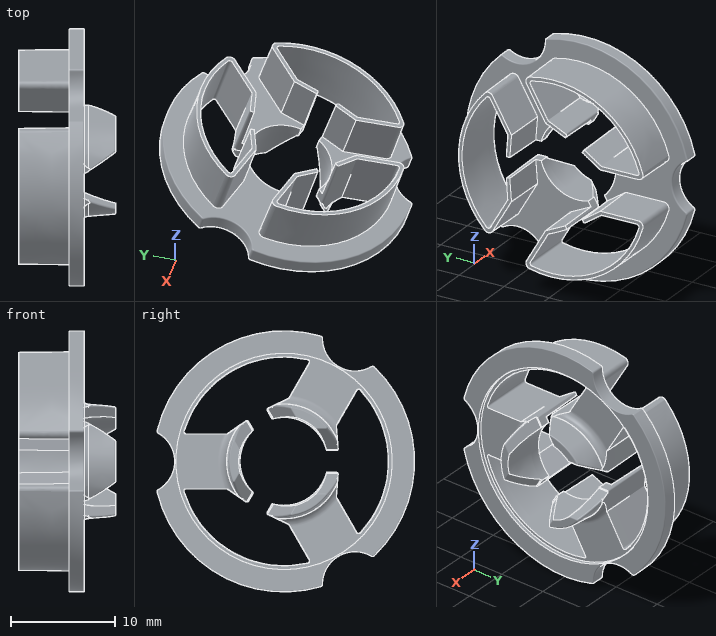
import cadquery as cq
import math


plate_radius = 12.5
plate_thickness = 1.5
hub_radius = 4.2
shell_side_rim_round = 0.15
peg_side_rim_round = 0.1

recess_radius = 10.35
recess_depth = 0.4

notch_radius = 3.1
notch_depth = 2.03
notch_corner_round = 0.25

shell_height = 4.8
shell_radius = 10.5
shell_wall = 0.52
shell_corner_round = 0.6
hollow_corner_round = 0.2
shell_draft = 0.7
arm_half_width = 2.12
bend_distance = 5.3
bend_tilt = 4.5
gap_half_width = 1.03
gap_length = 7.0
gap_lip_round = 0.2

peg_height = 3.0
peg_base_radius = 5.55
peg_waist_radius = 5.5
peg_foot_round = 0.8
peg_tip_radius = 5.27
peg_tip_inner_radius = 4.35
peg_base_clearance = 1.16
peg_tip_clearance = 3.1
peg_side_round = 0.15
peg_tip_round = 0.15

sector_count = 3
sector_angle = 360 / sector_count
arm_angle = sector_angle / 2
gap_angles = [i * sector_angle for i in range(sector_count)]
recess_floor = plate_thickness - recess_depth
peg_top = plate_thickness + peg_height
peg_middle_radius = (peg_tip_radius + peg_tip_inner_radius) / 2


def turned(shape, angle):
    """Turn a shape about the part's axis."""
    return shape.rotate((0, 0, 0), (1, 0, 0), angle)


def arm_to_gap(along, across):
    """Convert a point measured along and across an arm to (Y, Z) at the +Y gap."""
    angle = math.radians(arm_angle)
    y = along * math.cos(angle) + across * math.sin(angle)
    z = along * math.sin(angle) - across * math.cos(angle)
    return y, z


def distance_from_axis(edge):
    """Distance of an edge's centre from the part's axis."""
    centre = edge.Center()
    return math.hypot(centre.y, centre.z)


def make_plate():
    """Disc with rounded rim edges and a notch at the outer end of each arm."""
    plate = cq.Workplane("YZ").circle(plate_radius).extrude(plate_thickness)
    notch_centre = plate_radius - notch_depth + notch_radius
    notch = (
        cq.Workplane("YZ")
        .center(-notch_centre, 0)
        .circle(notch_radius)
        .extrude(plate_thickness)
    )
    for angle in gap_angles:
        plate = plate.cut(turned(notch, angle))
    plate = plate.edges("|X").fillet(notch_corner_round)
    plate = plate.faces("<X").edges().fillet(shell_side_rim_round)
    plate = plate.faces(">X").edges().fillet(peg_side_rim_round)
    recess = (
        cq.Workplane("YZ", origin=(recess_floor, 0, 0))
        .circle(recess_radius)
        .extrude(recess_depth)
    )
    hub_hole = cq.Workplane("YZ").circle(hub_radius).extrude(plate_thickness)
    return plate.cut(recess).cut(hub_hole)


def shell_outline():
    """Sharp-cornered outer outline of the +Y shell, where it meets the plate."""
    bend_y, bend_z = arm_to_gap(bend_distance, arm_half_width)
    corner_distance = math.sqrt(shell_radius**2 - arm_half_width**2)
    corner_y, corner_z = arm_to_gap(corner_distance, arm_half_width)
    ridge_y = bend_y + bend_z * math.tan(math.radians(bend_tilt))
    return (
        cq.Workplane("YZ")
        .moveTo(corner_y, -corner_z)
        .threePointArc((shell_radius, 0), (corner_y, corner_z))
        .lineTo(bend_y, bend_z)
        .lineTo(ridge_y, 0)
        .lineTo(bend_y, -bend_z)
        .close()
        .val()
    )


def round_rim_corners(outline, radius):
    """Round the two corners of a shell outline that lie nearest the plate's rim."""
    face = cq.Face.makeFromWires(outline)
    _, bend_z = arm_to_gap(bend_distance, arm_half_width)
    rim_corners = [v for v in face.Vertices() if abs(v.Z) > bend_z + shell_wall]
    return face.fillet2D(radius, rim_corners).outerWire()


def prism(outline, length, draft=0):
    """Prism from the plate's shell-side face along X, with optional draft."""
    return cq.Workplane("YZ").add(outline).toPending().extrude(length, taper=draft)


def make_shell():
    """Solid body of the shell around the +Y gap; its wall narrows to the tip."""
    outline = round_rim_corners(shell_outline(), shell_corner_round)
    return prism(outline, -shell_height, shell_draft)


def void_outline():
    """Outline of the +Y shell's hollow joined to the gap that opens it to the hub."""
    rounded_outline = round_rim_corners(shell_outline(), hollow_corner_round + shell_wall)
    hollow = prism(rounded_outline.offset2D(-shell_wall)[0], plate_thickness)
    gap = (
        cq.Workplane("YZ")
        .center(gap_length / 2, 0)
        .rect(gap_length, 2 * gap_half_width)
        .extrude(plate_thickness)
    )
    face = hollow.union(gap).faces("<X").val()
    lips = [v for v in face.Vertices() if is_gap_lip(v)]
    return face.fillet2D(gap_lip_round, lips).outerWire()


def is_gap_lip(vertex):
    """True for the corners where the gap's sides meet the hollow."""
    beside_gap = math.isclose(abs(vertex.Z), gap_half_width, abs_tol=0.01)
    return beside_gap and vertex.Y > hub_radius


def make_void():
    """Hollow and gap, drafted within the shell and straight through the plate."""
    outline = void_outline()
    shell_part = prism(outline, -shell_height, -shell_draft)
    plate_part = prism(outline, peg_top)
    return shell_part.union(plate_part)


def split_into_three(ring):
    """Cut three channels along the gaps, widening towards the peg tips."""
    channel = (
        cq.Workplane("XZ")
        .moveTo(recess_floor, -peg_base_clearance)
        .lineTo(peg_top, -peg_tip_clearance)
        .lineTo(peg_top, peg_tip_clearance)
        .lineTo(recess_floor, peg_base_clearance)
        .close()
        .extrude(-gap_length)
    )
    for angle in gap_angles:
        ring = ring.cut(turned(channel, angle))
    return ring


def make_pegs():
    """Three conical pegs standing on the recess floor around the hub hole."""
    ring = (
        cq.Workplane("XY")
        .moveTo(recess_floor, hub_radius)
        .lineTo(recess_floor, peg_base_radius)
        .lineTo(peg_top, peg_tip_radius)
        .lineTo(peg_top, peg_tip_inner_radius)
        .close()
        .revolve(360, (0, 0, 0), (1, 0, 0))
    )
    pegs = split_into_three(ring)
    pegs = pegs.edges().filter(is_peg_side_edge).fillet(peg_side_round)
    return pegs.faces(">X").edges().filter(is_peg_outer_edge).fillet(peg_tip_round)


def make_peg_feet():
    """Concave fillets between the outsides of the pegs and the recess floor."""
    foot_top = recess_floor + peg_foot_round
    ring = (
        cq.Workplane("XY")
        .moveTo(recess_floor, peg_middle_radius)
        .lineTo(recess_floor, peg_waist_radius + peg_foot_round)
        .radiusArc((foot_top, peg_waist_radius), -peg_foot_round)
        .lineTo(foot_top, peg_middle_radius)
        .close()
        .revolve(360, (0, 0, 0), (1, 0, 0))
    )
    return split_into_three(ring)


def is_peg_side_edge(edge):
    """True for the edges between a peg's conical outside and its slanted sides."""
    rises_to_tip = edge.BoundingBox().xlen > peg_height / 2
    return rises_to_tip and distance_from_axis(edge) > peg_middle_radius


def is_peg_outer_edge(edge):
    """True for the edges on the outer half of a peg's wall."""
    return distance_from_axis(edge) > peg_middle_radius


shell = make_shell()
void = make_void()
result = make_plate().union(make_pegs()).union(make_peg_feet())
for angle in gap_angles:
    result = result.union(turned(shell, angle))
for angle in gap_angles:
    result = result.cut(turned(void, angle))